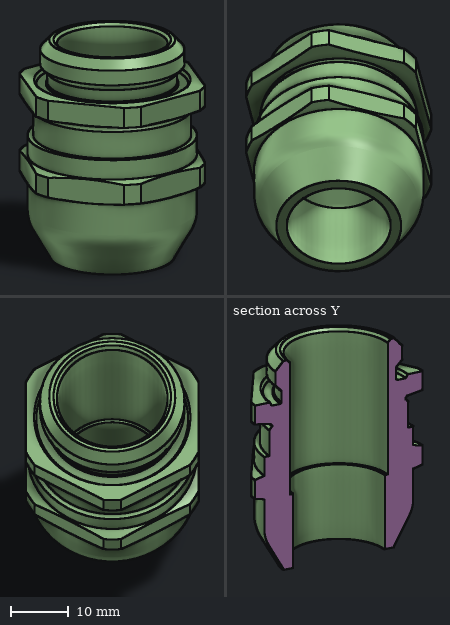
import cadquery as cq
import math

height = 39.3

across_flats = 30.0
corner_radius = 16.5
hex_turn = 30
hex_chamfer_height = 0.47
upper_hex_bottom = 27.95
upper_hex_top = 32.03
lower_hex_bottom = 14.0
lower_hex_top = 18.5

cap_radius = 14.7
dome_start = 8.35
dome_arc_radius = 5.9
dome_angle = math.radians(30)
tip_chamfer_height = 0.3
tip_chamfer_width = 0.15

collar_top = 22.0
body_radius = 13.7
body_top = 26.85
shoulder_height = 0.25
shoulder_radius = 13.5
waist_radius = 13.13
waist_height = 27.5

neck_radius = 11.28
neck_foot = 0.25
rim_radius = 12.55
rim_bottom = 34.95
rim_top = 37.6
end_radius = 10.93

through_radius = 9.0
socket_radius = 9.6
socket_floor = lower_hex_bottom
mouth_radius = 10.18
mouth_chamfer_height = 0.6

recess_top_radius = 13.55
recess_floor_radius = 13.15
recess_floor = 31.35


def dome_point(angle):
    """Radius and height on the dome arc, measured from its vertical start."""
    radius = cap_radius - dome_arc_radius * (1 - math.cos(angle))
    return radius, dome_start - dome_arc_radius * math.sin(angle)


def turned_body():
    """Solid of revolution without the hexagons or the bore."""
    cone_radius, cone_top = dome_point(dome_angle)
    tip_radius = cone_radius - (cone_top - tip_chamfer_height) * math.tan(dome_angle)
    rim_undercut = rim_radius - neck_radius
    profile = (
        cq.Workplane("XZ")
        .moveTo(0, 0)
        .lineTo(tip_radius - tip_chamfer_width, 0)
        .lineTo(tip_radius, tip_chamfer_height)
        .lineTo(cone_radius, cone_top)
        .threePointArc(dome_point(dome_angle / 2), (cap_radius, dome_start))
        .lineTo(cap_radius, collar_top)
        .lineTo(body_radius, collar_top)
        .lineTo(body_radius, body_top)
        .lineTo(shoulder_radius, body_top + shoulder_height)
        .lineTo(waist_radius, waist_height)
        .lineTo(shoulder_radius, upper_hex_bottom)
        .lineTo(shoulder_radius, recess_floor)
        .lineTo(neck_radius + neck_foot, recess_floor)
        .lineTo(neck_radius, recess_floor + neck_foot)
        .lineTo(neck_radius, rim_bottom - rim_undercut)
        .lineTo(rim_radius, rim_bottom)
        .lineTo(rim_radius, rim_top)
        .lineTo(end_radius, height)
        .lineTo(0, height)
        .close()
    )
    return profile.revolve(360, (0, 0), (0, 1))


def hexagon(bottom, top, chamfer_radius, chamfer_top):
    """Hexagon with rounded corners, chamfered outside chamfer_radius
    on its lower face and optionally on its upper face.
    """
    prism = (
        cq.Workplane("XY")
        .workplane(offset=bottom)
        .transformed(rotate=(0, 0, hex_turn))
        .polygon(6, across_flats, circumscribed=True)
        .extrude(top - bottom)
    )
    envelope = (
        cq.Workplane("XZ")
        .moveTo(0, bottom)
        .lineTo(chamfer_radius, bottom)
        .lineTo(corner_radius, bottom + hex_chamfer_height)
    )
    if chamfer_top:
        envelope = envelope.lineTo(corner_radius, top - hex_chamfer_height).lineTo(chamfer_radius, top)
    else:
        envelope = envelope.lineTo(corner_radius, top)
    envelope = envelope.lineTo(0, top).close().revolve(360, (0, 0), (0, 1))
    return prism.intersect(envelope)


def bore():
    """Through hole, wider socket above its ledge, and chamfered mouth."""
    profile = (
        cq.Workplane("XZ")
        .moveTo(0, 0)
        .lineTo(through_radius, 0)
        .lineTo(through_radius, socket_floor)
        .lineTo(socket_radius, socket_floor)
        .lineTo(socket_radius, height - mouth_chamfer_height)
        .lineTo(mouth_radius, height)
        .lineTo(0, height)
        .close()
    )
    return profile.revolve(360, (0, 0), (0, 1))


def neck_recess():
    """Tapered plug that opens the upper hexagon around the neck."""
    profile = (
        cq.Workplane("XZ")
        .moveTo(0, recess_floor)
        .lineTo(recess_floor_radius, recess_floor)
        .lineTo(recess_top_radius, upper_hex_top)
        .lineTo(0, upper_hex_top)
        .close()
    )
    return profile.revolve(360, (0, 0), (0, 1))


result = (
    turned_body()
    .union(hexagon(lower_hex_bottom, lower_hex_top, cap_radius, chamfer_top=True))
    .union(hexagon(upper_hex_bottom, upper_hex_top, shoulder_radius, chamfer_top=False).cut(neck_recess()))
    .cut(bore())
)